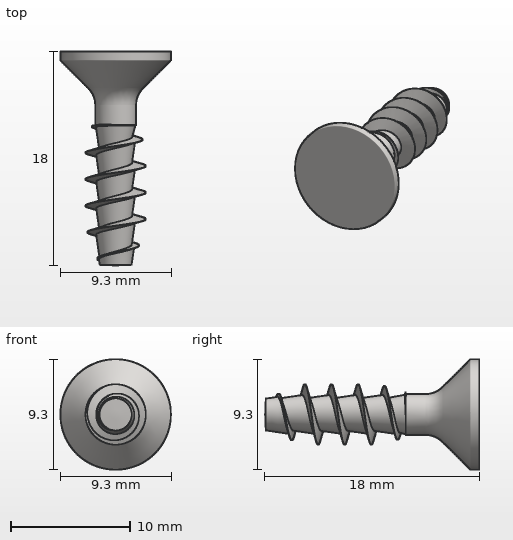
import cadquery as cq
import math

length = 18.0

head_diameter = 9.3
head_radius = head_diameter / 2
head_half_angle = 45.0
rim_depth = 0.75
rim_round = 0.05
shank_radius = 1.73
neck_radius = 1.98
shank_depth = 6.2

core_radius = 1.33
land_high_radius = 1.67
land_low_radius = 1.35
tip_radius = 1.35
tip_slope = 0.15
tip_flat_radius = 1.28
tip_bevel = 0.02
tip_point_height = 0.05

pitch = 2.23
crest_radius = 2.54
crest_width = 0.04
flank_angle = 13.5
thread_foot_radius = 1.26
run_in_crest_radius = 1.73
run_out_crest_radius = 1.39
lead_turns = 0.46
lead_smoothing = 0.05
land_start = -0.4
run_in_end = 1.5
run_out_start = 4.3
thread_end = 5.7
points_per_turn = 24


def crest_depth(turns):
    """Depth of the crest: level with the shank end at first, then a steady helix."""
    past_lead = turns - lead_turns
    return shank_depth + pitch * (past_lead + math.hypot(past_lead, lead_smoothing)) / 2


def crest_radius_at(turns):
    """Crest radius: grows over the run-in, stays constant, fades over the run-out."""
    if turns < run_in_end:
        return run_in_crest_radius + (crest_radius - run_in_crest_radius) * turns / run_in_end
    if turns > run_out_start:
        faded = (turns - run_out_start) / (thread_end - run_out_start)
        return crest_radius + (run_out_crest_radius - crest_radius) * faded
    return crest_radius


def thread_profile(turns):
    """Corners (radius, depth) of the thread section, with constant flank angles."""
    radius = crest_radius_at(turns)
    depth = crest_depth(turns)
    half_crest = crest_width / 2
    half_foot = half_crest + (radius - thread_foot_radius) * math.tan(math.radians(flank_angle))
    return [
        (thread_foot_radius, depth - half_foot),
        (radius, depth - half_crest),
        (radius, depth + half_crest),
        (thread_foot_radius, depth + half_foot),
    ]


def land_profile(turns):
    """Corners (radius, depth) of the tapered land between one crest and the next.

    The shortened lands next to the shank narrow in proportion to their length.
    """
    top = crest_depth(turns)
    bottom = crest_depth(turns + 1)
    full_taper_length = crest_depth(1) - crest_depth(0)
    taper = min(1, (bottom - top) / full_taper_length)
    bottom_radius = land_high_radius + (land_low_radius - land_high_radius) * taper
    return [
        (thread_foot_radius, top),
        (land_high_radius, top),
        (bottom_radius, bottom),
        (thread_foot_radius, bottom),
    ]


def helical_solid(profile, stations):
    """Solid that a polygon profile fills while turning through the stations."""

    def corner_point(turns, corner):
        radius, depth = profile(turns)[corner]
        angle = 2 * math.pi * turns
        return cq.Vector(radius * math.cos(angle), -depth, radius * math.sin(angle))

    corners = range(len(profile(stations[0])))
    faces = []
    for start, end in zip(stations, stations[1:]):
        steps = math.ceil((end - start) * points_per_turn)
        curves = []
        for corner in corners:
            points = [corner_point(start + (end - start) * i / steps, corner) for i in range(steps + 1)]
            curves.append(cq.Edge.makeSpline(points))
        for corner in corners:
            faces.append(cq.Face.makeRuledSurface(curves[corner], curves[corner - 1]))
    for turns in (stations[0], stations[-1]):
        outline = [corner_point(turns, corner) for corner in corners]
        faces.append(cq.Face.makeFromWires(cq.Wire.makePolygon(outline, close=True)))
    solid = cq.Solid.makeSolid(cq.Shell.makeShell(faces))
    return cq.Workplane(obj=solid.fix())


def revolved(profile):
    """Turn a closed half-section in the XY plane about the Y axis."""
    return profile.close().revolve(360, (0, 0, 0), (0, 1, 0))


def make_head_and_shank():
    neck_turn = math.radians(head_half_angle)
    cone_end_radius = shank_radius + neck_radius * (1 - math.cos(neck_turn))
    cone_end_depth = rim_depth + (head_radius - cone_end_radius) / math.tan(neck_turn)
    neck_end_depth = cone_end_depth + neck_radius * math.sin(neck_turn)
    mid_radius = shank_radius + neck_radius * (1 - math.cos(neck_turn / 2))
    mid_depth = neck_end_depth - neck_radius * math.sin(neck_turn / 2)
    section = (
        cq.Workplane("XY")
        .lineTo(head_radius, 0)
        .lineTo(head_radius, -rim_depth)
        .lineTo(cone_end_radius, -cone_end_depth)
        .threePointArc((mid_radius, -mid_depth), (shank_radius, -neck_end_depth))
        .lineTo(shank_radius, -shank_depth)
        .lineTo(0, -shank_depth)
    )
    rim_edges = cq.selectors.RadiusNthSelector(-1)
    return revolved(section).edges(rim_edges).fillet(rim_round)


def make_core():
    bevel_depth = length - tip_point_height
    tip_depth = bevel_depth - tip_bevel
    envelope_top_radius = tip_radius + tip_slope * (tip_depth - shank_depth)
    envelope = revolved(
        cq.Workplane("XY")
        .moveTo(0, -shank_depth)
        .lineTo(envelope_top_radius, -shank_depth)
        .lineTo(tip_radius, -tip_depth)
        .lineTo(tip_flat_radius, -bevel_depth)
        .lineTo(0, -length)
    )
    rod = revolved(
        cq.Workplane("XY")
        .moveTo(0, -shank_depth)
        .lineTo(core_radius, -shank_depth)
        .lineTo(core_radius, -length)
        .lineTo(0, -length)
    )
    lands = helical_solid(land_profile, [land_start, 0, thread_end])
    return rod.union(lands).intersect(envelope)


thread = helical_solid(thread_profile, [0, run_in_end, run_out_start, thread_end])
result = make_head_and_shank().union(make_core()).union(thread)